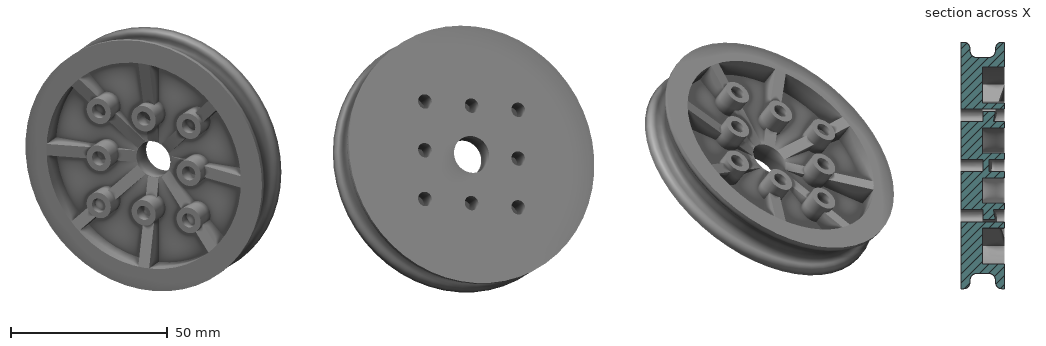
import cadquery as cq
import math

outer_diameter = 84.0
wheel_width = 14.0
groove_floor_diameter = 75.0
flange_thickness = 3.0
groove_fillet = 2.0
lip_fillet = 2.0

pocket_diameter = 69.05
pocket_depth = wheel_width / 2
bore_diameter = 12.0

boss_pitch = 16.0
boss_diameter = 8.6
boss_hole_diameter = 4.7

rib_count = 8
rib_width = 3.9

front_y = -wheel_width / 2
back_y = wheel_width / 2
floor_y = front_y + pocket_depth


def cylinders(diameter, start_y, end_y, centers=((0, 0),)):
    """Cylinders along Y, centred at the given (x, z) places."""
    return (
        cq.Workplane("XZ", origin=(0, start_y, 0))
        .pushPoints(centers)
        .circle(diameter / 2)
        .extrude(start_y - end_y)
    )


def make_rim_blank():
    """Solid disc with a rounded belt groove around its edge."""
    outer_radius = outer_diameter / 2
    groove_radius = groove_floor_diameter / 2

    wall_y = wheel_width / 2 - flange_thickness
    wall_outer_radius = outer_radius - lip_fillet
    wall_inner_radius = groove_radius + groove_fillet
    lip_y = wall_y + lip_fillet
    foot_y = wall_y - groove_fillet

    arc_inset = 1 - math.sqrt(0.5)
    lip_mid_radius = outer_radius - lip_fillet * arc_inset
    lip_mid_y = wall_y + lip_fillet * arc_inset
    foot_mid_radius = groove_radius + groove_fillet * arc_inset
    foot_mid_y = wall_y - groove_fillet * arc_inset

    return (
        cq.Workplane("XY")
        .moveTo(0, front_y)
        .lineTo(outer_radius, front_y)
        .lineTo(outer_radius, -lip_y)
        .threePointArc((lip_mid_radius, -lip_mid_y), (wall_outer_radius, -wall_y))
        .lineTo(wall_inner_radius, -wall_y)
        .threePointArc((foot_mid_radius, -foot_mid_y), (groove_radius, -foot_y))
        .lineTo(groove_radius, foot_y)
        .threePointArc((foot_mid_radius, foot_mid_y), (wall_inner_radius, wall_y))
        .lineTo(wall_outer_radius, wall_y)
        .threePointArc((lip_mid_radius, lip_mid_y), (outer_radius, lip_y))
        .lineTo(outer_radius, back_y)
        .lineTo(0, back_y)
        .close()
        .revolve(360, (0, 0, 0), (0, 1, 0))
    )


def make_rib():
    """One wedge along +X, rising from the floor at the bore to the front face at the rim."""
    rim_radius = pocket_diameter / 2
    return (
        cq.Workplane("XY")
        .moveTo(bore_diameter / 2, floor_y)
        .lineTo(rim_radius, front_y)
        .lineTo(rim_radius, floor_y)
        .close()
        .extrude(rib_width / 2, both=True)
    )


result = make_rim_blank().cut(cylinders(pocket_diameter, front_y, floor_y))

grid = (-boss_pitch, 0, boss_pitch)
boss_centers = [(x, z) for x in grid for z in grid if (x, z) != (0, 0)]
result = result.union(cylinders(boss_diameter, front_y, floor_y, boss_centers))
result = result.cut(cylinders(boss_hole_diameter, front_y, back_y, boss_centers))

for index in range(rib_count):
    rib = make_rib().rotate((0, 0, 0), (0, 1, 0), index * 360 / rib_count)
    result = result.union(rib)

result = result.cut(cylinders(bore_diameter, front_y, back_y))